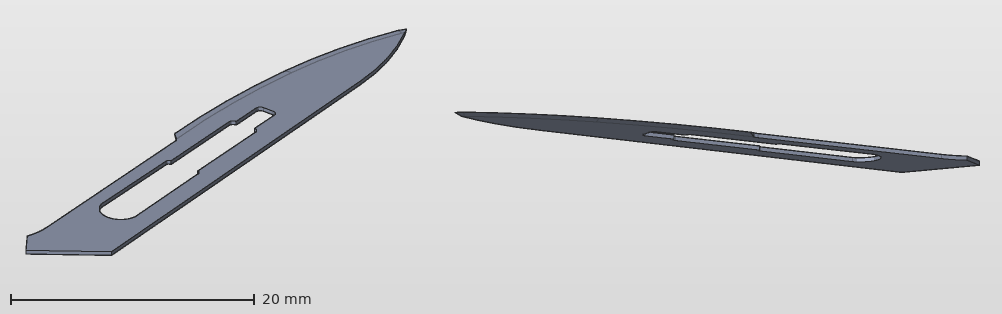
import cadquery as cq
import math

thickness = 0.36
length = 47.84
width = 7.59

edge_x = -3.98
shank_x = -3.03
butt_corner = (-2.15, 0.0)
back_corner = (edge_x + width, 4.05)
tail_point = (-3.47, 1.95)
tail_curve_start_y = 4.1
spine_lean = 0.0099
spine_curve_start_y = 38.6
tip = (1.04, length)

lower_edge_radius = 70.9
upper_edge_radius = 43.2
lower_edge_center_y = 23.9
edge_bottom_y = 22.75
edge_joint_y = 36.4
edge_top_y = 47.25
edge_step_end = (-3.14, 21.95)
step_curve_end_y = 21.5

bevel_width = 0.82
bevel_taper = math.degrees(math.atan2(bevel_width, thickness / 2))
margin = 5.0

slot_top_y = 30.3
slot_shoulder_y = 27.15
slot_step_y = 18.8
slot_side_end_y = 9.8
slot_bottom_y = 8.36
neck_half_width = 0.94
middle_half_width = 1.37
wide_top_half_width = 1.66
wide_bottom_half_width = 1.73
slot_top_round = 0.45
slot_shoulder_round = 0.4
slot_step_round = 0.25

lower_center = (edge_x + lower_edge_radius, lower_edge_center_y)
joint_angle = math.asin((edge_joint_y - lower_edge_center_y) / lower_edge_radius)
center_shift = lower_edge_radius - upper_edge_radius
upper_center = (
    lower_center[0] - center_shift * math.cos(joint_angle),
    lower_center[1] + center_shift * math.sin(joint_angle),
)


def point_on_edge_arc(center, radius, y):
    """Point at height y on the left side of an edge arc."""
    return (center[0] - math.sqrt(radius**2 - (y - center[1]) ** 2), y)


def lower_edge_point(y):
    return point_on_edge_arc(lower_center, lower_edge_radius, y)


def upper_edge_point(y):
    return point_on_edge_arc(upper_center, upper_edge_radius, y)


def arc_middle(start, direction, end):
    """Middle point of the arc that leaves start along direction and reaches end."""
    heading = math.atan2(direction[1], direction[0])
    chord = math.hypot(end[0] - start[0], end[1] - start[1])
    chord_heading = math.atan2(end[1] - start[1], end[0] - start[0])
    turn = chord_heading - heading
    reach = chord / (2 * math.cos(turn / 2))
    middle_heading = heading + turn / 2
    return (
        start[0] + reach * math.cos(middle_heading),
        start[1] + reach * math.sin(middle_heading),
    )


def trace_edge(sketch, start_y, end):
    """Draw the cutting edge upward from start_y, its tip facet running straight to end."""
    return (
        sketch
        .moveTo(*lower_edge_point(start_y))
        .threePointArc(lower_edge_point((start_y + edge_joint_y) / 2), lower_edge_point(edge_joint_y))
        .threePointArc(upper_edge_point((edge_joint_y + edge_top_y) / 2), upper_edge_point(edge_top_y))
        .lineTo(*end)
    )


def make_blank():
    """Flat blade at full thickness, without the bevel or the slot."""
    spine_rise = spine_curve_start_y - back_corner[1]
    spine_top = (back_corner[0] - spine_lean * spine_rise, spine_curve_start_y)
    tail_top = (shank_x, tail_curve_start_y)
    return (
        trace_edge(cq.Workplane("XY"), edge_bottom_y, tip)
        .threePointArc(arc_middle(spine_top, (-spine_lean, 1), tip), spine_top)
        .lineTo(*back_corner)
        .lineTo(*butt_corner)
        .lineTo(*tail_point)
        .threePointArc(arc_middle(tail_top, (0, -1), tail_point), tail_top)
        .lineTo(shank_x, step_curve_end_y)
        .tangentArcPoint(edge_step_end, relative=False)
        .close()
        .extrude(thickness / 2, both=True)
    )


def make_bevel_body():
    """Oversized body whose left side slopes from both faces to a sharp edge at Z = 0."""
    facet_foot = upper_edge_point(edge_top_y)
    facet_slope = (tip[0] - facet_foot[0]) / (tip[1] - facet_foot[1])
    facet_end = (tip[0] + margin * facet_slope, tip[1] + margin)
    far_x = back_corner[0] + margin
    start_y = edge_bottom_y - margin
    half = (
        trace_edge(cq.Workplane("XY"), start_y, facet_end)
        .lineTo(far_x, facet_end[1])
        .lineTo(far_x, start_y)
        .close()
        .extrude(thickness / 2, taper=bevel_taper)
    )
    return half.union(half.mirror("XY"))


def grind_bevel(blank):
    """Slope the blade above the step down to its cutting edge; leave the shank as it is."""
    shank_region = cq.Workplane("XY").box(
        2 * width, edge_step_end[1], thickness, centered=(True, False, True)
    )
    shank = blank.intersect(shank_region)
    bladed = blank.cut(shank_region).intersect(make_bevel_body())
    return shank.union(bladed)


def make_slot():
    """Cutter for the slot: a stepped outline, rounded at its outward corners."""
    right_side = [
        (wide_bottom_half_width, slot_side_end_y),
        (wide_top_half_width, slot_step_y),
        (middle_half_width, slot_step_y),
        (middle_half_width, slot_shoulder_y),
        (neck_half_width, slot_shoulder_y),
        (neck_half_width, slot_top_y),
    ]
    left_side = [(-x, y) for x, y in reversed(right_side)]
    cutter = (
        cq.Workplane("XY")
        .polyline(right_side + left_side)
        .threePointArc((0, slot_bottom_y), right_side[0])
        .close()
        .extrude(thickness, both=True)
    )
    rounded_corners = [
        (wide_top_half_width, slot_step_y, slot_step_round),
        (middle_half_width, slot_shoulder_y, slot_shoulder_round),
        (neck_half_width, slot_top_y, slot_top_round),
    ]
    for x, y, radius in rounded_corners:
        for side in (-1, 1):
            corner = cq.selectors.NearestToPointSelector((side * x, y, 0))
            cutter = cutter.edges("|Z").edges(corner).fillet(radius)
    return cutter


result = grind_bevel(make_blank()).cut(make_slot())